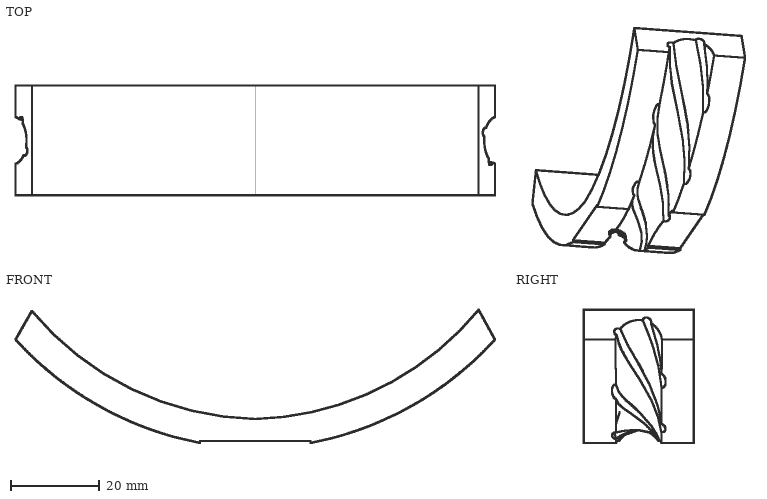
import cadquery as cq
import math

width = 25.0
half_span = 54.47
outer_tip_height = 23.5
inner_half_span = 50.75
left_inner_tip_height = 30.05
right_inner_tip_height = 30.31
inner_bottom_height = 5.5
inner_radius = 68.0
outer_radius = 76.0

seat_half_length = 12.5
seat_height = 0.45

axis_height = 69.6
groove_radius = 5.3
groove_roof_height = 2.95
groove_path_radius = axis_height - groove_roof_height + groove_radius
groove_half_sweep = 65.0

channel_radius = 0.9
channel_offset = 5.3
channel_twist = 4.6
channel_spacing = 18.8
middle_channel_angle = 0.7
first_channel = -4
last_channel = 3
channel_half_sweep = 27.0
channel_path_steps = 12


def make_bar():
    """Curved bar with sloping end faces and the shallow seat underneath."""
    return (
        cq.Workplane("XZ", origin=(0, width / 2, 0))
        .moveTo(-inner_half_span, left_inner_tip_height)
        .radiusArc((0, inner_bottom_height), -inner_radius)
        .radiusArc((inner_half_span, right_inner_tip_height), -inner_radius)
        .lineTo(half_span, outer_tip_height)
        .radiusArc((seat_half_length, 0), outer_radius)
        .lineTo(seat_half_length, seat_height)
        .lineTo(-seat_half_length, seat_height)
        .lineTo(-seat_half_length, 0)
        .radiusArc((-half_span, outer_tip_height), outer_radius)
        .close()
        .extrude(width)
    )


def make_groove():
    """Part of a torus around the bend axis."""
    section_height = axis_height - groove_path_radius
    return (
        cq.Workplane("YZ", origin=(0, 0, section_height))
        .circle(groove_radius)
        .revolve(2 * groove_half_sweep, (0, groove_path_radius, 0), (1, groove_path_radius, 0))
        .rotate((0, 0, axis_height), (0, 1, axis_height), -groove_half_sweep)
    )


def channel_point(bend_angle, crossing_angle):
    """Point on the channel centre line; bend_angle grows from the bottom towards -X."""
    roll = math.radians(channel_twist * (bend_angle - crossing_angle))
    bend = math.radians(bend_angle)
    reach = groove_path_radius - channel_offset * math.cos(roll)
    return cq.Vector(
        -reach * math.sin(bend),
        channel_offset * math.sin(roll),
        axis_height - reach * math.cos(bend),
    )


def make_channel(crossing_angle):
    """Round cutter that winds across the groove roof from one side to the other."""
    step = 2 * channel_half_sweep / channel_path_steps
    first_angle = crossing_angle - channel_half_sweep
    points = [
        channel_point(first_angle + step * index, crossing_angle)
        for index in range(channel_path_steps + 1)
    ]
    path = cq.Wire.assembleEdges([cq.Edge.makeSpline(points)])
    start = cq.Plane(origin=points[0], normal=path.tangentAt(0))
    section = cq.Workplane(start).circle(channel_radius)
    return section.sweep(cq.Workplane("XY").newObject([path]))


result = make_bar().cut(make_groove())
for number in range(first_channel, last_channel + 1):
    result = result.cut(make_channel(middle_channel_angle + channel_spacing * number))